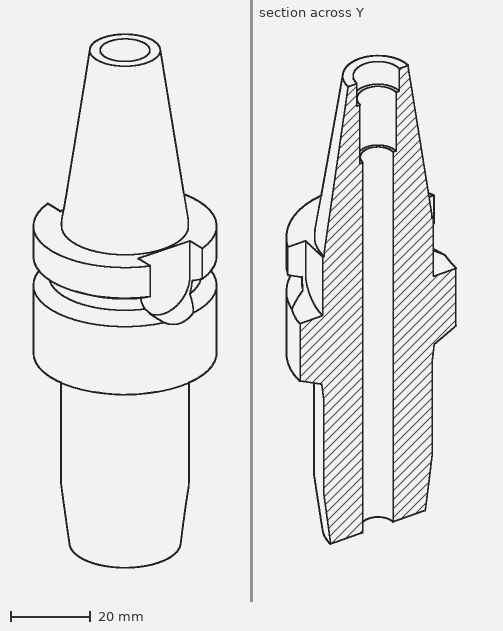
import cadquery as cq

total_length = 138.4
body_radius = 23.0

taper_small_radius = 8.9
taper_large_radius = 15.9
gauge_line_z = 90.0
flange_top_z = 89.0

groove_radius = 19.1
flange_bottom_z = 80.4
groove_top_z = 78.2
groove_bottom_z = 75.0
body_top_z = 72.4

body_bottom_z = 53.3
shoulder_bottom_z = 50.0
neck_radius = 16.6
neck_bottom_z = 45.4
nose_radius = 16.0
nose_taper_z = 16.6
nose_tip_radius = 14.0

slot_width = 16.2
slot_bottom_z = 71.0
slot_floor_x = 16.3

through_radius = 4.4
middle_radius = 5.3
mouth_radius = 6.2
mouth_depth = 6.9
middle_depth = 24.9


def make_body():
    """Revolve the outer profile about Z."""
    profile = (
        cq.Workplane("XZ")
        .moveTo(0, 0)
        .lineTo(nose_tip_radius, 0)
        .lineTo(nose_radius, nose_taper_z)
        .lineTo(nose_radius, neck_bottom_z)
        .lineTo(neck_radius, shoulder_bottom_z)
        .lineTo(body_radius, body_bottom_z)
        .lineTo(body_radius, body_top_z)
        .lineTo(groove_radius, groove_bottom_z)
        .lineTo(groove_radius, groove_top_z)
        .lineTo(body_radius, flange_bottom_z)
        .lineTo(body_radius, flange_top_z)
        .lineTo(taper_large_radius, flange_top_z)
        .lineTo(taper_large_radius, gauge_line_z)
        .lineTo(taper_small_radius, total_length)
        .lineTo(0, total_length)
        .close()
    )
    return profile.revolve(360, (0, 0), (0, 1))


def make_drive_slot(side):
    """Round-bottomed slot, open outwards on the +X (1) or -X (-1) side."""
    slot_radius = slot_width / 2
    round_center_z = slot_bottom_z + slot_radius
    return (
        cq.Workplane("YZ", origin=(side * slot_floor_x, 0, 0))
        .moveTo(-slot_radius, flange_top_z)
        .lineTo(-slot_radius, round_center_z)
        .threePointArc((0, slot_bottom_z), (slot_radius, round_center_z))
        .lineTo(slot_radius, flange_top_z)
        .close()
        .extrude(side * body_radius)
    )


def make_bore_step(radius, depth):
    """Round bore running down from the small end of the taper."""
    return cq.Workplane("XY", origin=(0, 0, total_length)).circle(radius).extrude(-depth)


result = make_body()
for side in (-1, 1):
    result = result.cut(make_drive_slot(side))

bore_steps = (
    (mouth_radius, mouth_depth),
    (middle_radius, middle_depth),
    (through_radius, total_length),
)
for radius, depth in bore_steps:
    result = result.cut(make_bore_step(radius, depth))